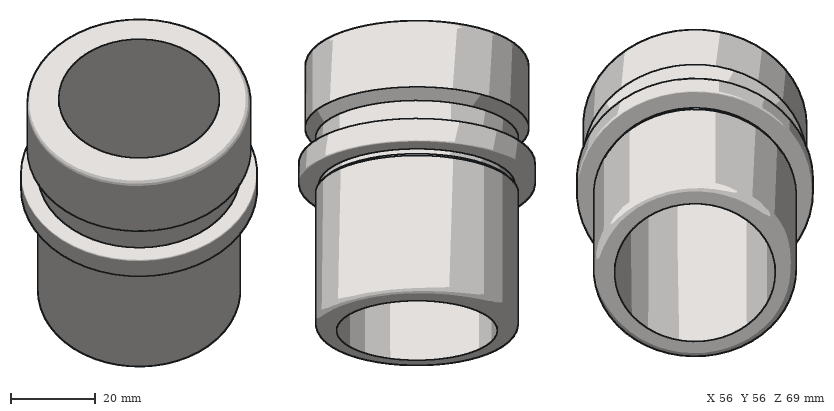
import cadquery as cq

total_height = 69.0
bore_diameter = 38.0
body_diameter = 48.0
head_diameter = 53.0
flange_diameter = 55.95
groove_diameter = 46.5

head_height = 17.5
flange_top = 43.0
flange_thickness = 6.0
groove_height = 2.0
end_round = 2.0
flange_round = 0.5

body_radius = body_diameter / 2
head_radius = head_diameter / 2
groove_radius = groove_diameter / 2
taper_height = head_radius - body_radius
groove_bevel = body_radius - groove_radius
head_bottom = total_height - head_height
flange_bottom = flange_top - flange_thickness
groove_bottom = flange_bottom - groove_height


def make_sleeve():
    """Body, relief groove, neck and tapered head, revolved about Z."""
    profile = (
        cq.Workplane("XZ")
        .moveTo(0, 0)
        .lineTo(body_radius, 0)
        .lineTo(body_radius, groove_bottom)
        .lineTo(groove_radius, groove_bottom + groove_bevel)
        .lineTo(groove_radius, flange_bottom)
        .lineTo(body_radius, flange_bottom)
        .lineTo(body_radius, head_bottom - taper_height)
        .lineTo(head_radius, head_bottom)
        .lineTo(head_radius, total_height)
        .lineTo(0, total_height)
        .close()
    )
    sleeve = profile.revolve(360, (0, 0, 0), (0, 1, 0))
    return sleeve.faces("<Z or >Z").edges().fillet(end_round)


def make_flange():
    """Collar with rounded outer edges."""
    flange = cq.Workplane("XY").workplane(offset=flange_bottom).circle(flange_diameter / 2)
    return flange.extrude(flange_thickness).faces("<Z or >Z").edges().fillet(flange_round)


def make_bore():
    """Straight bore through the full height."""
    return cq.Workplane("XY").circle(bore_diameter / 2).extrude(total_height)


result = make_sleeve().union(make_flange()).cut(make_bore())